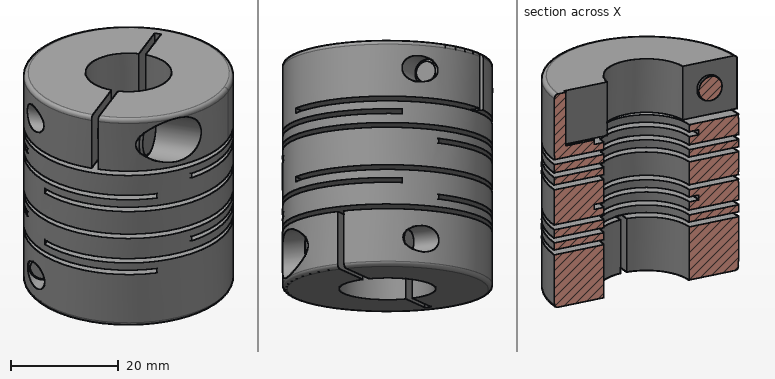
import cadquery as cq


HEIGHT = 43.0
DIAMETER = 39.0
RADIUS = DIAMETER / 2
HALF_HEIGHT = HEIGHT / 2
RIM_FILLET = 0.8
UPPER_BORE_DIAMETER = 16.0
LOWER_BORE_DIAMETER = 17.97

SLIT_WIDTH = 0.9
SLIT_REACH = 11.0
SLITS = [
    (10.28, "-Y"),
    (7.85, "+Y"),
    (5.25, "-X"),
    (2.8, "+X"),
    (-2.8, "-Y"),
    (-5.25, "+Y"),
    (-7.85, "+X"),
    (-10.28, "-X"),
]
TURN_FROM_MINUS_X = {"-X": 0, "-Y": 90, "+X": 180, "+Y": 270}

HUB_LENGTH = HALF_HEIGHT - SLITS[0][0] - SLIT_WIDTH / 2
CLAMP_SLOT_WIDTH = 1.3
CLAMP_SLOT_REACH = 17.0

SCREW_OFFSET = 13.5
SCREW_FROM_END = 5.35
SCREW_DIAMETER = 5.0
SCREW_TIP = -11.2
SCREW_TIP_CHAMFER = 0.5
HEAD_DIAMETER = 8.5
HEAD_TOP = 8.65
HEAD_HEIGHT = 5.0
HEAD_CHAMFER = 0.5
HEAD_SEAT = HEAD_TOP - HEAD_HEIGHT
COUNTERBORE_DIAMETER = 9.0


def rod_along_x(diameter, start, end):
    """Cylinder along X from start to end, on the axis of the upper screw."""
    axis_height = HALF_HEIGHT - SCREW_FROM_END
    plane = cq.Workplane("YZ", origin=(start, -SCREW_OFFSET, axis_height))
    return plane.circle(diameter / 2).extrude(end - start)


def make_body():
    body = cq.Workplane("XY").circle(RADIUS).extrude(HALF_HEIGHT, both=True)
    return body.faces("|Z").edges().fillet(RIM_FILLET)


def make_bores():
    top_of_lower_bore = HALF_HEIGHT - HUB_LENGTH
    upper = cq.Workplane("XY").circle(UPPER_BORE_DIAMETER / 2).extrude(HALF_HEIGHT)
    lower = (
        cq.Workplane("XY", origin=(0, 0, -HALF_HEIGHT))
        .circle(LOWER_BORE_DIAMETER / 2)
        .extrude(HALF_HEIGHT + top_of_lower_bore)
    )
    return upper.union(lower)


def make_slit(mid_height, open_side):
    """Flat slit across the body, entering from the open side."""
    length = RADIUS + SLIT_REACH
    slit = cq.Workplane("XY").box(length, DIAMETER, SLIT_WIDTH)
    slit = slit.translate((SLIT_REACH - length / 2, 0, mid_height))
    return slit.rotate((0, 0, 0), (0, 0, 1), TURN_FROM_MINUS_X[open_side])


def make_clamp_slot():
    """Slot that splits the upper hub on its -Y side."""
    length = RADIUS + CLAMP_SLOT_REACH
    slot = cq.Workplane("XY").box(CLAMP_SLOT_WIDTH, length, HUB_LENGTH)
    return slot.translate((0, CLAMP_SLOT_REACH - length / 2, HALF_HEIGHT - HUB_LENGTH / 2))


def make_screw_hole():
    """Through hole along X with a counterbore open to +X."""
    hole = rod_along_x(SCREW_DIAMETER, -RADIUS, RADIUS)
    return hole.union(rod_along_x(COUNTERBORE_DIAMETER, HEAD_SEAT, RADIUS))


def make_screw():
    shank = rod_along_x(SCREW_DIAMETER, SCREW_TIP, HEAD_SEAT)
    shank = shank.faces("<X").chamfer(SCREW_TIP_CHAMFER)
    head = rod_along_x(HEAD_DIAMETER, HEAD_SEAT, HEAD_TOP)
    head = head.faces(">X").chamfer(HEAD_CHAMFER)
    return shank.union(head)


def on_lower_hub(shape):
    """Half turn about the line X = Y, which swaps X with Y and flips Z."""
    return shape.rotate((0, 0, 0), (1, 1, 0), 180)


result = make_body().cut(make_bores())

for slit_height, slit_side in SLITS:
    result = result.cut(make_slit(slit_height, slit_side))

for cutter in (make_clamp_slot(), make_screw_hole()):
    result = result.cut(cutter).cut(on_lower_hub(cutter))

upper_screw = make_screw()
result = result.union(upper_screw).union(on_lower_hub(upper_screw))